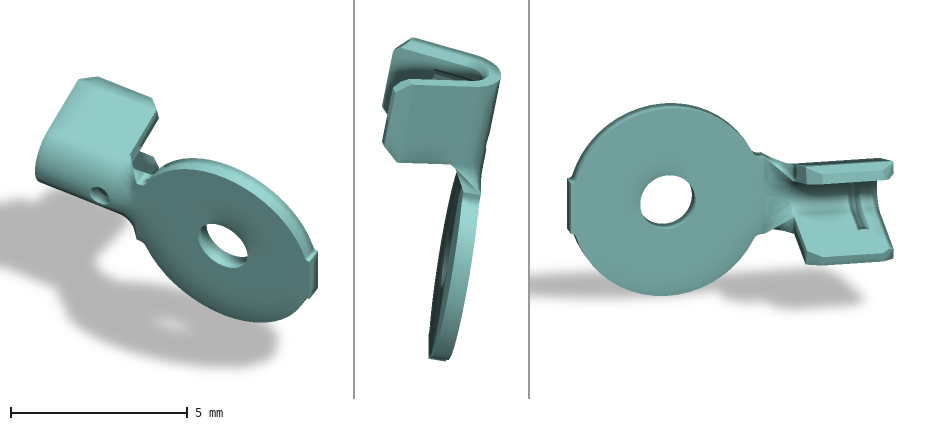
import cadquery as cq
import math

total_length = 8.89
total_depth = 3.05
thickness = 0.5

disc_radius = 2.79
disc_x = 6.08
hole_radius = 0.8
tab_half_width = 0.76
tab_fillet = 0.125

neck_half_width = 1.14
neck_fillet = 0.24
neck_end_x = disc_x - disc_radius
neck_middle_outer_tip = (0.5, 1.04)
neck_middle_inner_tip = (0.74, 0.84)

barrel_length = 2.525
outer_radius = 1.02
inner_radius = outer_radius - thickness
splay = math.radians(15)
tip_thickness = 0.285
tip_bevel_length = 0.445
corner_cut = 0.38
mouth_chamfer_length = 0.18
mouth_chamfer_height = 0.15

dimple_x = 2.09
dimple_radius = 0.32
dimple_depth = 0.39

groove_x = 0.7
groove_half_width = 0.18
groove_floor_half_width = 0.05
groove_depth = 0.14
groove_leg_length = 0.99

leg_length = (total_depth - outer_radius + inner_radius * math.sin(splay)) / math.cos(splay)


def barrel_point(radius, along, side=1):
    """(Y, Z) of a point on a leg, given its distance from the bend axis and along the leg."""
    y = outer_radius - radius * math.sin(splay) + along * math.cos(splay)
    z = radius * math.cos(splay) + along * math.sin(splay)
    return (y, side * z)


def flat_strip(x_min, x_max, half_width):
    """Flat strip of plate thickness, centred on Z = 0."""
    sketch = cq.Workplane("XZ").center((x_min + x_max) / 2, 0)
    return sketch.rect(x_max - x_min, 2 * half_width).extrude(-thickness)


def fillet_at(body, x, half_width, radius):
    """Round the two corners parallel to Y where a strip meets the disc rim."""
    margin = 0.045
    for side in (-1, 1):
        z = side * half_width
        near = cq.selectors.BoxSelector((x - margin, 0, z - margin), (x + margin, thickness, z + margin))
        body = body.edges("|Y").edges(near).fillet(radius)
    return body


def make_plate():
    """Ring disc with the neck strip on one side and a narrow tab on the other."""
    disc = cq.Workplane("XZ").center(disc_x, 0).circle(disc_radius).extrude(-thickness)
    plate = disc.union(flat_strip(neck_end_x, disc_x, neck_half_width))
    plate = plate.union(flat_strip(disc_x, total_length, tab_half_width))
    neck_reach = math.sqrt(disc_radius**2 - neck_half_width**2)
    tab_reach = math.sqrt(disc_radius**2 - tab_half_width**2)
    plate = fillet_at(plate, disc_x - neck_reach, neck_half_width, neck_fillet)
    plate = fillet_at(plate, disc_x + tab_reach, tab_half_width, tab_fillet)
    hole = cq.Workplane("XZ").center(disc_x, 0).circle(hole_radius).extrude(-thickness)
    return plate.cut(hole)


def inner_channel(offset, x, reach):
    """Wire of the barrel's inner space at X = x, grown outwards by offset, legs cut at reach."""
    radius = inner_radius + offset
    return (
        cq.Workplane("YZ", origin=(x, 0, 0))
        .moveTo(*barrel_point(radius, reach))
        .lineTo(*barrel_point(radius, 0))
        .threePointArc((outer_radius - radius, 0), barrel_point(radius, 0, -1))
        .lineTo(*barrel_point(radius, reach, -1))
        .close()
        .val()
    )


def channel_taper(x_start, offset_start, x_end, offset_end, reach):
    """Solid filling the barrel's inner space between two X stations with different offsets."""
    wires = [inner_channel(offset_start, x_start, reach), inner_channel(offset_end, x_end, reach)]
    return cq.Workplane(obj=cq.Solid.makeLoft(wires, True))


def make_corner_cut(x, inward, side):
    """Triangular prism that trims one leg-tip corner, square to the leg."""
    tip = barrel_point(inner_radius, leg_length, side)
    plane = cq.Plane(
        origin=(x, *tip),
        xDir=(1, 0, 0),
        normal=(0, -side * math.sin(splay), math.cos(splay)),
    )
    return (
        cq.Workplane(plane)
        .polyline([(0, 0), (inward * corner_cut, 0), (0, -corner_cut)])
        .close()
        .extrude(2 * thickness, both=True)
    )


def make_barrel():
    """U-shaped crimp barrel, open towards +Y, with bevelled leg tips."""
    bevel_start = leg_length - tip_bevel_length
    bevel_radius = inner_radius + tip_thickness
    barrel = (
        cq.Workplane("YZ")
        .moveTo(*barrel_point(inner_radius, leg_length))
        .lineTo(*barrel_point(bevel_radius, leg_length))
        .lineTo(*barrel_point(outer_radius, bevel_start))
        .lineTo(*barrel_point(outer_radius, 0))
        .threePointArc((0, 0), barrel_point(outer_radius, 0, -1))
        .lineTo(*barrel_point(outer_radius, bevel_start, -1))
        .lineTo(*barrel_point(bevel_radius, leg_length, -1))
        .lineTo(*barrel_point(inner_radius, leg_length, -1))
        .lineTo(*barrel_point(inner_radius, 0, -1))
        .threePointArc((thickness, 0), barrel_point(inner_radius, 0))
        .close()
        .extrude(barrel_length)
    )
    for side in (-1, 1):
        barrel = barrel.cut(make_corner_cut(0, 1, side))
        barrel = barrel.cut(make_corner_cut(barrel_length, -1, side))

    beyond_tips = leg_length + thickness
    barrel = barrel.cut(channel_taper(0, mouth_chamfer_height, mouth_chamfer_length, 0, beyond_tips))

    floor_start = groove_x - groove_floor_half_width
    floor_end = groove_x + groove_floor_half_width
    barrel = barrel.cut(channel_taper(floor_start, groove_depth, floor_end, groove_depth, groove_leg_length))
    for side, floor_edge in ((-1, floor_start), (1, floor_end)):
        rim = groove_x + side * groove_half_width
        barrel = barrel.cut(channel_taper(rim, 0, floor_edge, groove_depth, groove_leg_length))

    dimple = cq.Workplane("XZ").center(dimple_x, 0).circle(dimple_radius).extrude(-dimple_depth)
    return barrel.cut(dimple)


def mirrored(point):
    """(Y, Z) point reflected across the mid-plane Z = 0."""
    return (point[0], -point[1])


def half_curve(sketch, apex_y, tip, end, side):
    """Draw to end, along the +Z or -Z half of the face with its apex on Z = 0 and its upper tip given."""
    rise = tip[0] - apex_y
    if rise == 0:
        return sketch.lineTo(*end)
    radius = (rise**2 + tip[1] ** 2) / (2 * rise)
    half_angle = math.atan2(tip[1], radius - rise) / 2
    middle = (apex_y + radius * (1 - math.cos(half_angle)), side * radius * math.sin(half_angle))
    return sketch.threePointArc(middle, end)


def neck_section(x, outer_tip, inner_tip):
    """Wire of the bent strip at X = x, given the (Y, Z) corners of its upper edge.

    Each face is an arc, or a line if flat, that crosses Z = 0 square to the Y axis.
    """
    sketch = cq.Workplane("YZ", origin=(x, 0, 0)).moveTo(*outer_tip)
    sketch = half_curve(sketch, 0, outer_tip, (0, 0), 1)
    sketch = half_curve(sketch, 0, outer_tip, mirrored(outer_tip), -1)
    sketch = sketch.lineTo(*mirrored(inner_tip))
    sketch = half_curve(sketch, thickness, inner_tip, (thickness, 0), -1)
    sketch = half_curve(sketch, thickness, inner_tip, inner_tip, 1)
    return sketch.close().val()


def make_neck():
    """Transition from a half-round strip at the barrel to the flat strip at the disc."""
    round_end = neck_section(barrel_length, (outer_radius, outer_radius), (outer_radius, inner_radius))
    middle_x = (barrel_length + neck_end_x) / 2
    middle = neck_section(middle_x, neck_middle_outer_tip, neck_middle_inner_tip)
    flat_end = neck_section(neck_end_x, (0, neck_half_width), (thickness, neck_half_width))
    return cq.Workplane(obj=cq.Solid.makeLoft([round_end, middle, flat_end]))


result = make_plate().union(make_neck()).union(make_barrel())